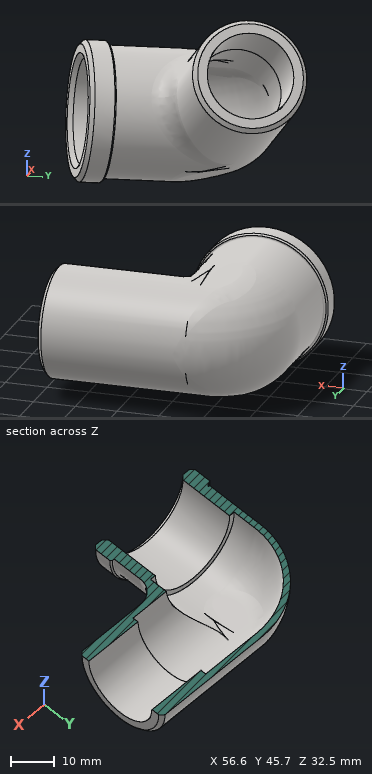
import cadquery as cq
import math

wall = 1.7
thread_radius = 26.44 / 2

inlet_length = 32.5
inlet_radius = 30.5 / 2
inlet_thread_radius = 24.12 / 2
inlet_thread_depth = 16.0
mouth_chamfer = thread_radius - inlet_thread_radius

outlet_length = 40.35
outlet_radius = thread_radius
outlet_end_bore_radius = 20.0 / 2
outlet_end_bore_depth = inlet_thread_depth
end_chamfer = 1.0
tip_start = outlet_length - end_chamfer

collar_radius = 32.5 / 2
collar_length = 6.0
collar_back_chamfer = 0.4
neck_fillet = 0.3
neck_end = collar_length - inlet_length + neck_fillet

bend_y = -10.0
flat_foot_y = -10.1
crotch_fillet = 5.0
bend_rounding = 8.0
rounding_end_x = 5.0
bend_skirt = 3.0
margin = 5.0
tolerance = 0.01


def rod_along_y(radius, start, end):
    return cq.Workplane("XZ", origin=(0, start, 0)).circle(radius).extrude(start - end)


def rod_along_x(radius, start, end):
    return cq.Workplane("YZ", origin=(start, 0, 0)).circle(radius).extrude(end - start)


def block(x_range, y_range, half_height):
    """Box between the given X and Y limits, centred on the plane of the pipe axes."""
    x_size = x_range[1] - x_range[0]
    y_size = y_range[1] - y_range[0]
    centre = (x_range[0] + x_size / 2, y_range[0] + y_size / 2, 0)
    return cq.Workplane("XY", origin=centre).box(x_size, y_size, 2 * half_height)


def bend_corner(inlet_r, outlet_r):
    """Material outside the bend: a corner block less the inlet circle turned a quarter about the bend line."""
    bend_x = outlet_r - bend_y - inlet_r
    rim = math.sqrt(inlet_r**2 - bend_x**2)
    swept_bend = (
        cq.Workplane("XZ", origin=(bend_x, bend_y, 0))
        .moveTo(0, -rim)
        .threePointArc((-bend_x - inlet_r, 0), (0, rim))
        .close()
        .revolve(90, (0, 0), (0, -1))
    )
    corner = block((-inlet_r - margin, bend_x), (bend_y, outlet_r + 2 * margin), inlet_r + margin)
    return corner.cut(swept_bend)


def flat_tangent(inlet_r, outlet_r):
    """Y and Z at which a flat, rising to the inlet radius at its foot, touches the outlet circle."""
    foot_distance = math.hypot(flat_foot_y, inlet_r)
    angle = math.atan2(inlet_r, flat_foot_y) - math.acos(outlet_r / foot_distance)
    return outlet_r * math.cos(angle), outlet_r * math.sin(angle)


def between_flats(inlet_r, outlet_r, x_end, y_low, round_top):
    """Prism along X between the two flats, topped by the outlet circle or cut straight where they touch it."""
    touch_y, touch_z = flat_tangent(inlet_r, outlet_r)
    low_z = touch_z + (touch_y - y_low) * touch_y / touch_z
    x_start = -inlet_r - margin
    outline = (
        cq.Workplane("YZ", origin=(x_start, 0, 0))
        .moveTo(touch_y, touch_z)
        .lineTo(y_low, low_z)
        .lineTo(y_low, -low_z)
        .lineTo(touch_y, -touch_z)
    )
    if round_top:
        outline = outline.threePointArc((outlet_r, 0), (touch_y, touch_z))
    return outline.close().extrude(x_end - x_start)


def sharp_elbow(inlet_r, outlet_r, y_start, x_end, crotch_r):
    """Both pipes joined and trimmed to the bend and its flats, with the crotch filleted where asked."""
    touch_y = flat_tangent(inlet_r, outlet_r)[0]
    lower_half = block((-inlet_r - margin, x_end), (y_start, touch_y), inlet_r + margin)
    pipes = rod_along_y(inlet_r, y_start, outlet_r + margin).union(rod_along_x(outlet_r, 0, x_end))
    pipes = pipes.intersect(lower_half)
    if crotch_r > 0:
        crotch = [edge for edge in pipes.edges().vals() if edge.geomType() == "BSPLINE"]
        pipes = pipes.newObject(crotch).fillet(crotch_r)
    pipes = pipes.intersect(between_flats(inlet_r, outlet_r, x_end, y_start - margin, False))
    upper_half = rod_along_x(outlet_r, -inlet_r, x_end).cut(lower_half)
    return pipes.union(upper_half).cut(bend_corner(inlet_r, outlet_r))


def rounded_bend(inlet_r, outlet_r, x_end, y_start, rounding):
    """Bend up to x_end, with the ridge around its flats and along the outlet circle rounded."""
    bend = rod_along_y(inlet_r, y_start, outlet_r + margin).cut(bend_corner(inlet_r, outlet_r))
    bend = bend.intersect(between_flats(inlet_r, outlet_r, x_end, y_start - margin, True))
    ridge = []
    for edge in bend.edges().vals():
        on_end_face = edge.Center().x > x_end - tolerance
        if edge.geomType() in ("BSPLINE", "ELLIPSE") and not on_end_face:
            ridge.append(edge)
    return bend.newObject(ridge).fillet(rounding)


def elbow(inlet_r, outlet_r, y_start, x_end, rounding, crotch_r=0):
    bend_bottom = bend_y - bend_skirt
    bend_space = block((-inlet_r - margin, rounding_end_x), (bend_bottom, outlet_r + margin), inlet_r + margin)
    arms = sharp_elbow(inlet_r, outlet_r, y_start, x_end, crotch_r).cut(bend_space)
    return arms.union(rounded_bend(inlet_r, outlet_r, rounding_end_x, bend_bottom, rounding))


def collar():
    """Solid inlet end below neck_end: a band with both rims chamfered and a fillet at the neck."""
    front = -inlet_length
    back = front + collar_length
    return (
        cq.Workplane("XY")
        .moveTo(0, front)
        .lineTo(collar_radius - end_chamfer, front)
        .lineTo(collar_radius, front + end_chamfer)
        .lineTo(collar_radius, back - collar_back_chamfer)
        .lineTo(collar_radius - collar_back_chamfer, back)
        .lineTo(inlet_radius + neck_fillet, back)
        .radiusArc((inlet_radius, neck_end), neck_fillet)
        .lineTo(0, neck_end)
        .close()
        .revolve(360, (0, 0, 0), (0, 1, 0))
    )


def outlet_tip():
    """Chamfered end of the outlet."""
    return cq.Workplane("YZ", origin=(tip_start, 0, 0)).circle(outlet_radius).extrude(end_chamfer, taper=45)


def cavity():
    """Thin-walled bend passage, opening through the inlet thread bore and the outlet end bore."""
    thread_end = inlet_thread_depth - inlet_length
    passage_end = outlet_length - outlet_end_bore_depth
    passage = elbow(inlet_radius - wall, outlet_radius - wall, thread_end, passage_end, bend_rounding - wall)
    thread_bore = rod_along_y(inlet_thread_radius, -inlet_length, thread_end)
    end_bore = rod_along_x(outlet_end_bore_radius, passage_end, outlet_length)
    mouth = cq.Workplane("XZ", origin=(0, -inlet_length, 0)).circle(thread_radius)
    mouth = mouth.extrude(-mouth_chamfer, taper=45)
    return passage.union(thread_bore).union(end_bore).union(mouth)


body = elbow(inlet_radius, outlet_radius, neck_end, tip_start, bend_rounding, crotch_fillet)
result = body.union(collar()).union(outlet_tip()).cut(cavity())